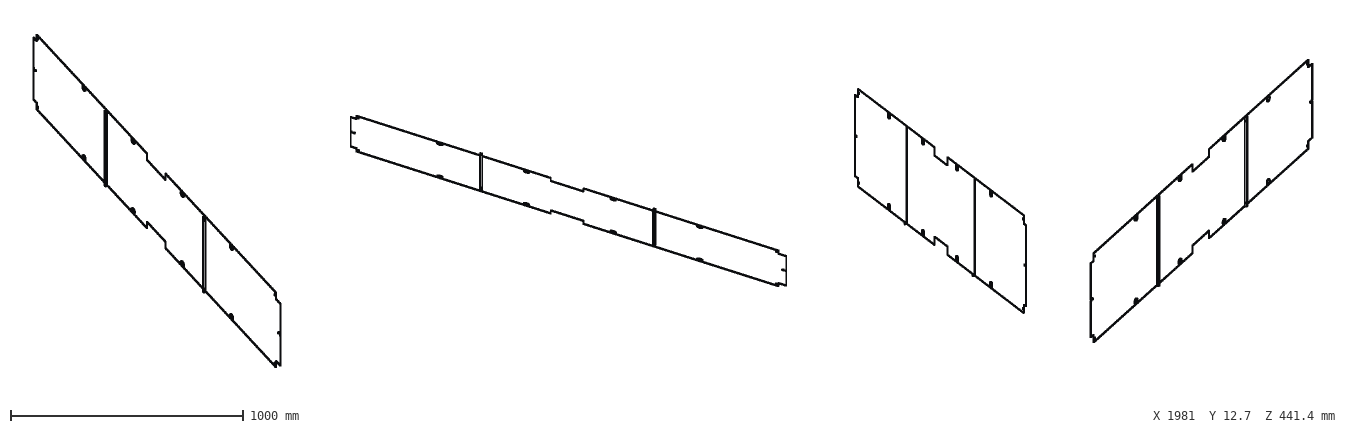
import cadquery as cq

total_length = 1981.0
panel_thickness = 3.2
strip_thickness = 9.5
strip_width = 9.5

edge_hole_diameter = 25.0
edge_hole_inset = 14.7
edge_hole_row_spacing = 412.0
edge_hole_pitch = 395.0
edge_hole_count = 4
edge_hole_row_center_x = 5.0

panel_height = edge_hole_row_spacing + 2 * edge_hole_inset
tab_height = 367.0
left_tab_length = 25.0
right_tab_length = 35.0
notch_width = 149.0
notch_center_x = -5.0

fixing_hole_diameter = 7.1
tip_hole_inset = 15.3
shoulder_hole_inset_x = 8.0
shoulder_hole_inset_z = 18.0
tip_notch_diameter = 10.0

strip_pitch = 789.0
strip_pair_center_x = -5.0
strip_hole_diameter = 5.0
strip_hole_inset = 18.0

left_end_x = -total_length / 2
right_end_x = total_length / 2
left_shoulder_x = left_end_x + left_tab_length
right_shoulder_x = right_end_x - right_tab_length
edge_hole_z = edge_hole_row_spacing / 2
strip_hole_z = panel_height / 2 - strip_hole_inset
shoulder_hole_z = panel_height / 2 - shoulder_hole_inset_z


def block(x_min, x_max, y_min, y_max, height):
    """A box centred on Z = 0 between the given X and Y limits."""
    return cq.Workplane("XY").box(
        x_max - x_min, y_max - y_min, height
    ).translate(((x_min + x_max) / 2, (y_min + y_max) / 2, 0))


def through_holes(points, diameter):
    """Cylinders along Y through the panel thickness at (x, z) points."""
    return (
        cq.Workplane("XZ")
        .pushPoints(points)
        .circle(diameter / 2)
        .extrude(-panel_thickness)
    )


def make_panel():
    body = block(left_shoulder_x, right_shoulder_x, 0, panel_thickness, panel_height)
    tabs = block(left_end_x, right_end_x, 0, panel_thickness, tab_height)
    notch_left_x = notch_center_x - notch_width / 2
    notch_right_x = notch_center_x + notch_width / 2
    notch_span = block(notch_left_x, notch_right_x, 0, panel_thickness, panel_height)
    outline = body.cut(notch_span).union(tabs)

    first_hole_x = edge_hole_row_center_x - edge_hole_pitch * (edge_hole_count - 1) / 2
    edge_points = [
        (first_hole_x + i * edge_hole_pitch, side * edge_hole_z)
        for i in range(edge_hole_count)
        for side in (-1, 1)
    ]
    fixing_points = [(left_end_x + tip_hole_inset, 0), (right_end_x - tip_hole_inset, 0)]
    for x in (left_shoulder_x + shoulder_hole_inset_x, right_shoulder_x - shoulder_hole_inset_x):
        fixing_points += [(x, -shoulder_hole_z), (x, shoulder_hole_z)]

    tip_points = [(left_end_x, 0), (right_end_x, 0)]

    return (
        outline
        .cut(through_holes(edge_points, edge_hole_diameter))
        .cut(through_holes(fixing_points, fixing_hole_diameter))
        .cut(through_holes(tip_points, tip_notch_diameter))
    )


def make_strip(center_x):
    """A full-height strip lying on the -Y face of the panel, with a cross hole along X near each end."""
    half_width = strip_width / 2
    strip = block(center_x - half_width, center_x + half_width, -strip_thickness, 0, panel_height)
    cross_holes = (
        cq.Workplane("YZ", origin=(center_x, -strip_thickness / 2, 0))
        .pushPoints([(0, side * strip_hole_z) for side in (-1, 1)])
        .circle(strip_hole_diameter / 2)
        .extrude(half_width, both=True)
    )
    return strip.cut(cross_holes)


panel = make_panel()
strips = [make_strip(strip_pair_center_x + side * strip_pitch / 2) for side in (-1, 1)]

result = cq.Compound.makeCompound([panel.val(), *[strip.val() for strip in strips]])